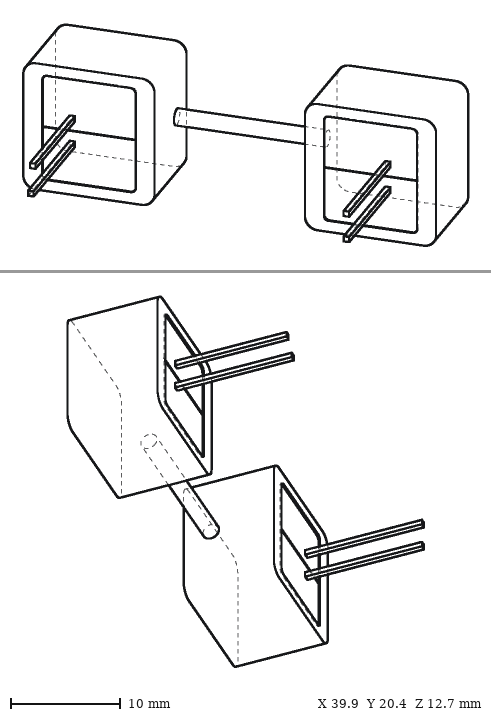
import cadquery as cq

overall_length = 39.88
overall_depth = 20.35

housing_side = 12.7
housing_depth = 8.95
housing_corner_radius = 1.25
housing_center_x = (overall_length - housing_side) / 2

window_width = 9.0
window_height = 10.45
window_corner_radius = 0.48
window_depth = 0.15
groove_width = 0.05
groove_depth = 0.05

pin_side = 0.5
pin_pitch = 2.55
pin_offset = 1.65
pin_length = overall_depth - housing_depth
short_pin_reduction = 0.5

rod_diameter = 1.6
rod_to_back = 2.7



def box_along_y(width, height, y_front, y_back, x=0, z=0):
    """Box centered at (x, z) that spans y_front to y_back."""
    depth = y_back - y_front
    center = (x, (y_front + y_back) / 2, z)
    return cq.Workplane("XY").box(width, depth, height).translate(center)


def make_housing(center_x):
    body = box_along_y(housing_side, housing_side, 0, housing_depth, center_x)
    body = body.edges("|Y").fillet(housing_corner_radius)
    window = box_along_y(window_width, window_height, 0, window_depth, center_x)
    window = window.edges("|Y").fillet(window_corner_radius)
    groove = box_along_y(window_width, groove_width, 0, window_depth + groove_depth, center_x)
    return body.cut(window).cut(groove)


def make_pin(x, z, length):
    root_y = 2 * window_depth
    return box_along_y(pin_side, pin_side, -length, root_y, x, z)


def make_rod():
    length = overall_length - 2 * housing_side
    rod = cq.Workplane("YZ").circle(rod_diameter / 2).extrude(length / 2, both=True)
    return rod.translate((0, housing_depth - rod_to_back, 0))


result = make_rod()
for side in (-1, 1):
    result = result.union(make_housing(side * housing_center_x))
    pin_x = side * (housing_center_x + pin_offset)
    for level in (-1, 1):
        is_short = side < 0 and level > 0
        length = pin_length - short_pin_reduction if is_short else pin_length
        result = result.union(make_pin(pin_x, level * pin_pitch / 2, length))